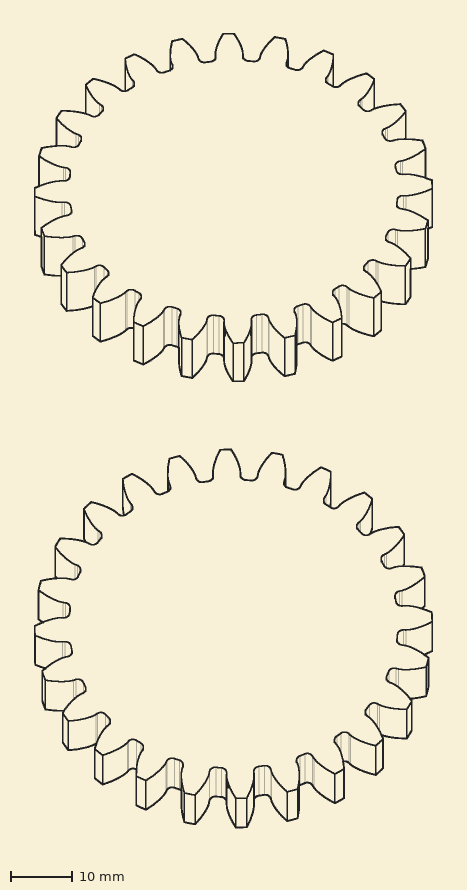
import cadquery as cq
import math

OUTER_DIAMETER = 65.0
TOOTH_COUNT = 24
PRESSURE_ANGLE = math.radians(20)
ADDENDUM_FACTOR = 1.0
DEDENDUM_FACTOR = 1.25
FACE_WIDTH_FACTOR = 4.0
ROOT_FILLET_FACTOR = 0.38
FLANK_POINTS = 7
CORNER_TOLERANCE = 0.05

module = OUTER_DIAMETER / (TOOTH_COUNT + 2 * ADDENDUM_FACTOR)
thickness = FACE_WIDTH_FACTOR * module
tip_radius = OUTER_DIAMETER / 2
pitch_radius = module * TOOTH_COUNT / 2
base_radius = pitch_radius * math.cos(PRESSURE_ANGLE)
root_radius = pitch_radius - DEDENDUM_FACTOR * module
root_fillet_radius = ROOT_FILLET_FACTOR * module

tooth_pitch = 2 * math.pi / TOOTH_COUNT
base_half_angle = tooth_pitch / 4 + math.tan(PRESSURE_ANGLE) - PRESSURE_ANGLE


def polar(radius, angle):
    return (radius * math.cos(angle), radius * math.sin(angle))


def flank_half_angle(radius):
    """Angle from the tooth centre line to the involute flank at a given radius."""
    roll = math.sqrt((radius / base_radius) ** 2 - 1)
    return base_half_angle - (roll - math.atan(roll))


def flank(tooth_angle, side):
    """Involute points from the base circle to the tip; side is -1 or +1."""
    step = (tip_radius - base_radius) / (FLANK_POINTS - 1)
    radii = [base_radius + i * step for i in range(FLANK_POINTS)]
    return [polar(r, tooth_angle + side * flank_half_angle(r)) for r in radii]


def gear_outline():
    outline = cq.Workplane("XY").moveTo(*polar(root_radius, -base_half_angle))
    for tooth in range(TOOTH_COUNT):
        angle = tooth * tooth_pitch
        rising = flank(angle, -1)
        falling = flank(angle, 1)[::-1]
        gap_middle = polar(root_radius, angle + tooth_pitch / 2)
        next_root = polar(root_radius, angle + tooth_pitch - base_half_angle)
        outline = (
            outline.lineTo(*rising[0])
            .spline(rising[1:], includeCurrent=True)
            .threePointArc(polar(tip_radius, angle), falling[0])
            .spline(falling[1:], includeCurrent=True)
            .lineTo(*polar(root_radius, angle + base_half_angle))
            .threePointArc(gap_middle, next_root)
        )
    return outline.close()


def is_root_corner(edge):
    centre = edge.Center()
    return abs(math.hypot(centre.x, centre.y) - root_radius) < CORNER_TOLERANCE


gear = gear_outline().extrude(thickness)
result = gear.edges("|Z").filter(is_root_corner).fillet(root_fillet_radius)